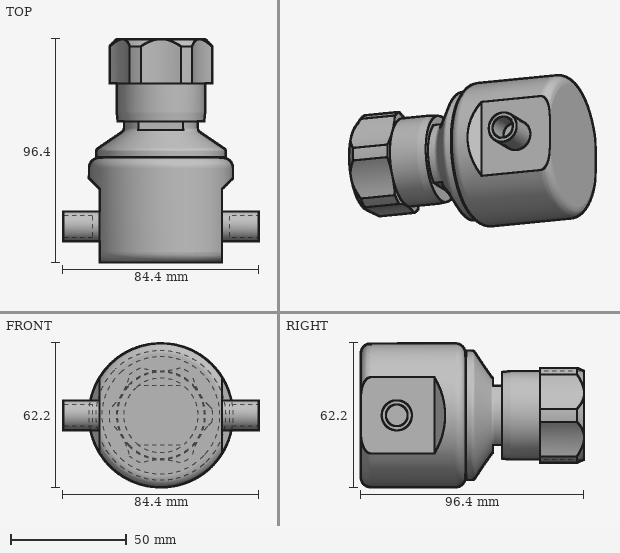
import cadquery as cq
import math

overall_length = 96.39

body_radius = 62.23 / 2
rim_fillet = 4.445
body_length = 45.212
flat_offset = 26.42
flat_length = 31.75

gap_length = 0.254
gap_radius = 25.4
collar_start = body_length + gap_length
collar_radius = 28.0
collar_corner = 48.75
neck_root = 56.9
neck_radius = 16.0
bonnet_fillet = 1.524
neck_flat_offset = 12.83
neck_flat_start = 57.1

sleeve_start = 60.9
taper_end = 64.67
taper_radius = 18.72
sleeve_radius = 19.15

nut_start = 77.3
nut_radius = 22.225
nut_side_count = 6
lobe_half_angle = 7.2
hollow_offset = 19.15
nut_end_radius = 19.1

port_y = 15.6
port_radius = 6.5
bore_radius = 4.7
port_tip = 84.4 / 2
tube_length = 12.7


def cylinder_along_y(radius, start, end):
    plane = cq.Plane(origin=(0, start, 0), xDir=(1, 0, 0), normal=(0, 1, 0))
    return cq.Workplane(plane).circle(radius).extrude(end - start)


def circle_at(y):
    """Selects the circular edge of a turned part at position y on the axis."""
    margin = 0.1
    low = (-body_radius, y - margin, -body_radius)
    high = (body_radius, y + margin, body_radius)
    return cq.selectors.BoxSelector(low, high)


def polar(radius, degrees):
    angle = math.radians(degrees)
    return (radius * math.cos(angle), radius * math.sin(angle))


def make_body():
    drum = cylinder_along_y(body_radius, 0, body_length).edges().fillet(rim_fillet)
    overrun = 1.0
    slope_reach = body_radius - flat_offset + overrun
    side_cut = (
        cq.Workplane("XY")
        .moveTo(flat_offset, -overrun)
        .lineTo(flat_offset, flat_length)
        .lineTo(flat_offset + slope_reach, flat_length + slope_reach)
        .lineTo(flat_offset + slope_reach, -overrun)
        .close()
        .extrude(body_radius, both=True)
    )
    return drum.cut(side_cut).cut(side_cut.mirror("YZ"))


def make_bonnet():
    profile = (
        cq.Workplane("XY")
        .moveTo(0, collar_start)
        .lineTo(collar_radius, collar_start)
        .lineTo(collar_radius, collar_corner)
        .lineTo(neck_radius, neck_root)
        .lineTo(neck_radius, sleeve_start)
        .lineTo(0, sleeve_start)
        .close()
    )
    bonnet = profile.revolve(360, (0, 0, 0), (0, 1, 0))
    bonnet = bonnet.edges(circle_at(collar_corner)).fillet(bonnet_fillet)
    bonnet = bonnet.edges(circle_at(neck_root)).fillet(bonnet_fillet)
    flat_cut_size = (2 * neck_radius, sleeve_start - neck_flat_start, neck_radius)
    flat_cut_y = (neck_flat_start + sleeve_start) / 2
    for side in (1, -1):
        flat_cut_z = side * (neck_flat_offset + neck_radius / 2)
        bonnet = bonnet.cut(cq.Workplane("XY").box(*flat_cut_size).translate((0, flat_cut_y, flat_cut_z)))
    return bonnet


def make_sleeve():
    return (
        cq.Workplane("XY")
        .moveTo(0, sleeve_start)
        .lineTo(taper_radius, sleeve_start)
        .lineTo(sleeve_radius, taper_end)
        .lineTo(sleeve_radius, nut_start)
        .lineTo(0, nut_start)
        .close()
        .revolve(360, (0, 0, 0), (0, 1, 0))
    )


def make_nut():
    pitch = 360 / nut_side_count
    plane = cq.Plane(origin=(0, nut_start, 0), xDir=(1, 0, 0), normal=(0, 1, 0))
    outline = cq.Workplane(plane).moveTo(*polar(nut_radius, -lobe_half_angle))
    for side in range(nut_side_count):
        lobe = side * pitch
        outline = outline.threePointArc(
            polar(nut_radius, lobe), polar(nut_radius, lobe + lobe_half_angle)
        )
        outline = outline.threePointArc(
            polar(hollow_offset, lobe + pitch / 2), polar(nut_radius, lobe + pitch - lobe_half_angle)
        )
    nut = outline.close().extrude(overall_length - nut_start)
    chamfer = nut_radius - nut_end_radius
    envelope = cylinder_along_y(nut_radius, nut_start, overall_length).faces(">Y").chamfer(chamfer)
    return nut.intersect(envelope)


def make_ports(part):
    centre = cq.Workplane("YZ").center(port_y, 0)
    part = part.union(centre.circle(port_radius).extrude(port_tip, both=True))
    bore = centre.workplane(offset=port_tip - tube_length).circle(bore_radius).extrude(tube_length)
    return part.cut(bore).cut(bore.mirror("YZ"))


gap = cylinder_along_y(gap_radius, body_length, collar_start)
valve = make_body().union(gap).union(make_bonnet()).union(make_sleeve()).union(make_nut())
result = make_ports(valve)